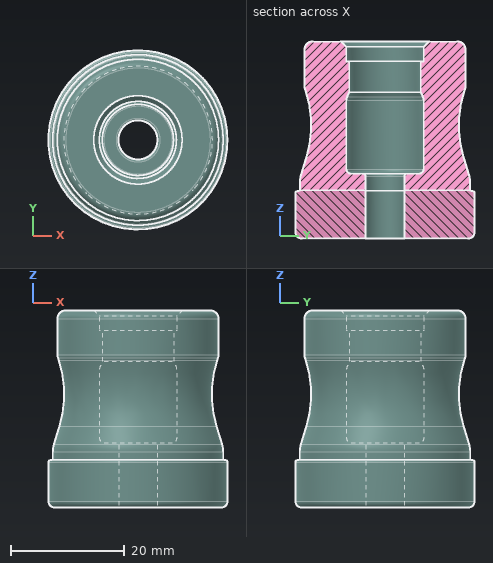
import cadquery as cq
import math

total_height = 34.925

base_radius = 15.875
base_height = 8.5
rim_slope = math.radians(10)
rim_blend = 0.4
base_bottom_fillet = 1.1

head_radius = 14.2875
head_top_fillet = 1.5
foot_radius = 15.11

throat_radius = 13.1
throat_height = 20.05
throat_arc = 19.4
head_flare = math.radians(18)
head_blend = 1.5
foot_flare = math.radians(17)
foot_blend = 4.6

bore_radius = 6.83
mouth_chamfer = 1.0
land_radius = 6.31
land_top = total_height - 3.55
land_bottom = total_height - 9.0
relief_flare = math.radians(24.6)
relief_blend = 1.5
floor_height = 11.5
floor_fillet = 0.8

hole_radius = 3.44
hole_edge_fillet = 0.44


def arc_point(start_radius, start_height, arc_radius, angle, side, rise):
    """Point (r, z) on an arc that starts parallel to the axis and has turned through `angle`.

    `side` is +1 when the arc bends away from the axis and -1 when it bends towards it;
    `rise` is +1 when it runs upwards and -1 when it runs downwards.
    """
    return (
        start_radius + side * arc_radius * (1 - math.cos(angle)),
        start_height + rise * arc_radius * math.sin(angle),
    )


def blend_cone(start, end_radius, flare, blend, rise):
    """Cone that widens from `start`, then a convex arc into a cylinder of `end_radius`.

    Returns the end of the cone, the middle of the arc and the end of the arc.
    """
    cone_end_radius = end_radius - blend * (1 - math.cos(flare))
    cone_height = (cone_end_radius - start[0]) / math.tan(flare)
    cylinder_height = start[1] + rise * (cone_height + blend * math.sin(flare))
    return [
        arc_point(end_radius, cylinder_height, blend, angle, -1, -rise)
        for angle in (flare, flare / 2, 0)
    ]


def revolve_about_z(profile):
    return profile.close().revolve(360, (0, 0, 0), (0, 1, 0))


def make_knob_blank():
    """Outside of the knob, without its bore."""
    throat = (throat_radius, throat_height)
    head_arc_end = arc_point(*throat, throat_arc, head_flare, 1, 1)
    foot_arc_end = arc_point(*throat, throat_arc, foot_flare, 1, -1)
    head_cone_end, head_blend_mid, head_start = blend_cone(
        head_arc_end, head_radius, head_flare, head_blend, 1
    )
    foot_cone_end, foot_blend_mid, foot_top = blend_cone(
        foot_arc_end, foot_radius, foot_flare, foot_blend, -1
    )
    profile = (
        cq.Workplane("XZ")
        .moveTo(0, base_height)
        .lineTo(foot_radius, base_height)
        .lineTo(*foot_top)
        .threePointArc(foot_blend_mid, foot_cone_end)
        .lineTo(*foot_arc_end)
        .threePointArc(throat, head_arc_end)
        .lineTo(*head_cone_end)
        .threePointArc(head_blend_mid, head_start)
        .lineTo(head_radius, total_height)
        .lineTo(0, total_height)
    )
    return revolve_about_z(profile).faces(">Z").edges().fillet(head_top_fillet)


def make_bore():
    """Bore with a chamfered mouth and a land; below the land it flares back to full radius."""
    land_end = (land_radius, land_bottom)
    relief_cone_end, relief_blend_mid, relief_end = blend_cone(
        land_end, bore_radius, relief_flare, relief_blend, -1
    )
    profile = (
        cq.Workplane("XZ")
        .moveTo(0, total_height)
        .lineTo(bore_radius + mouth_chamfer, total_height)
        .lineTo(bore_radius, total_height - mouth_chamfer)
        .lineTo(bore_radius, land_top)
        .lineTo(land_radius, land_top)
        .lineTo(*land_end)
        .lineTo(*relief_cone_end)
        .threePointArc(relief_blend_mid, relief_end)
        .lineTo(bore_radius, floor_height)
        .lineTo(0, floor_height)
    )
    return revolve_about_z(profile).faces("<Z").edges().fillet(floor_fillet)


def make_knob():
    floor_hole = (
        cq.Workplane("XY")
        .workplane(offset=base_height)
        .circle(hole_radius)
        .extrude(floor_height - base_height)
    )
    knob = make_knob_blank().cut(make_bore()).cut(floor_hole)
    floor_center = (0, 0, floor_height)
    floor_face = cq.selectors.NearestToPointSelector(floor_center)
    hole_edge = cq.selectors.RadiusNthSelector(0)
    return knob.faces("+Z").faces(floor_face).edges(hole_edge).fillet(hole_edge_fillet)


def make_base():
    """Disc with rounded edges whose top slopes down outwards from the foot of the knob."""
    rim_drop = (base_radius - foot_radius) * math.tan(rim_slope)
    rim_sweep = math.pi / 2 - rim_slope
    rim_height = rim_drop + rim_blend * math.tan(rim_sweep / 2)
    rim_start = (base_radius, base_height - rim_height)
    rim_mid = arc_point(*rim_start, rim_blend, rim_sweep / 2, -1, 1)
    rim_end = arc_point(*rim_start, rim_blend, rim_sweep, -1, 1)
    profile = (
        cq.Workplane("XZ")
        .moveTo(hole_radius, 0)
        .lineTo(base_radius, 0)
        .lineTo(*rim_start)
        .threePointArc(rim_mid, rim_end)
        .lineTo(foot_radius, base_height)
        .lineTo(hole_radius, base_height)
    )
    bottom_edge = cq.selectors.RadiusNthSelector(-1)
    return revolve_about_z(profile).faces("<Z").edges(bottom_edge).fillet(base_bottom_fillet)


knob = make_knob()
base = make_base()

result = cq.Compound.makeCompound([knob.val(), base.val()])